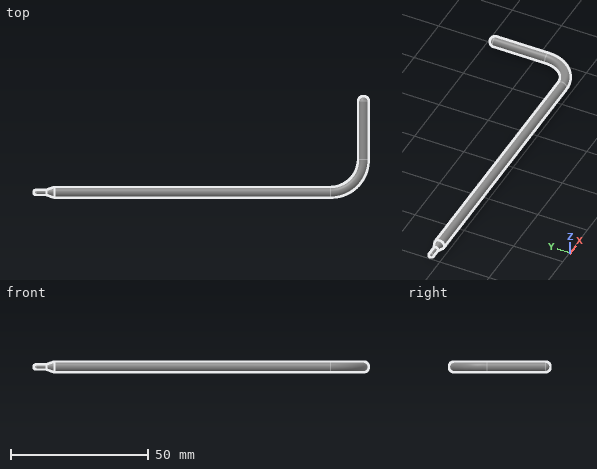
import cadquery as cq

length = 122.0
width = 37.1
rod_diameter = 4.0
rod_radius = rod_diameter / 2

bend_radius = 12.0

neck_diameter = 2.0
neck_radius = neck_diameter / 2
tip_dome_height = neck_radius
neck_end = 4.6
cone_end = 7.6

end_dome_height = 1.8

short_arm_x = length - rod_radius
bend_start_x = short_arm_x - bend_radius
short_arm_end_y = width - rod_radius - end_dome_height


def make_rod():
    """Round bar from the cone, through the bend, to the base of the short arm's dome."""
    path = (
        cq.Workplane("XY")
        .moveTo(cone_end, 0)
        .lineTo(bend_start_x, 0)
        .radiusArc((short_arm_x, bend_radius), -bend_radius)
        .lineTo(short_arm_x, short_arm_end_y)
    )
    return cq.Workplane("YZ", origin=(cone_end, 0, 0)).circle(rod_radius).sweep(path)


def cap_sphere_radius(base_radius, height):
    """Radius of the sphere whose cap has the given base radius and height."""
    return (base_radius**2 + height**2) / (2 * height)


def make_tip():
    """Domed end, thin neck and cone, revolved about the long arm's axis."""
    return (
        cq.Workplane("XY")
        .radiusArc((tip_dome_height, neck_radius), cap_sphere_radius(neck_radius, tip_dome_height))
        .lineTo(neck_end, neck_radius)
        .lineTo(cone_end, rod_radius)
        .lineTo(cone_end, 0)
        .close()
        .revolve(360, (0, 0, 0), (1, 0, 0))
    )


def make_short_end():
    """Domed end of the short arm, revolved about that arm's axis."""
    return (
        cq.Workplane("XY", origin=(short_arm_x, short_arm_end_y, 0))
        .lineTo(rod_radius, 0)
        .radiusArc((0, end_dome_height), -cap_sphere_radius(rod_radius, end_dome_height))
        .close()
        .revolve(360, (0, 0, 0), (0, 1, 0))
    )


result = make_rod().union(make_tip()).union(make_short_end())